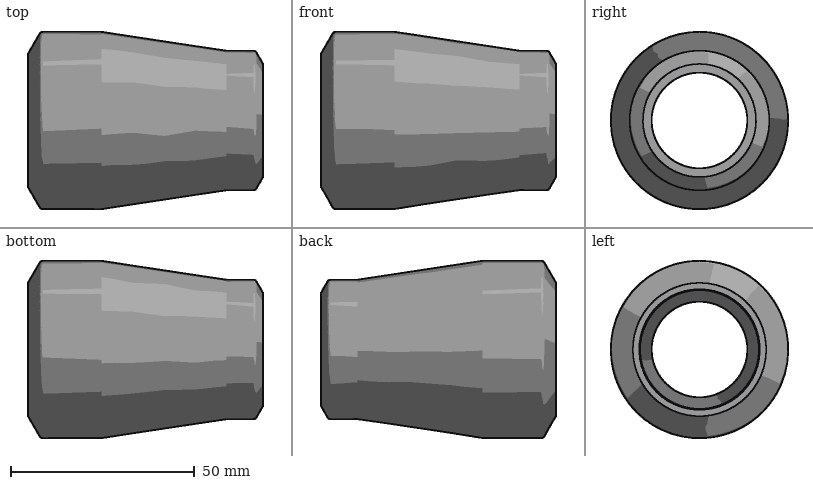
import cadquery as cq
import math

total_length = 64.0
taper_start = 20.0
taper_end = 54.1

large_diameter = 48.3
small_diameter = 38.0
large_face_diameter = 36.3
small_face_diameter = 30.8

large_bore = 32.3
small_bore = 26.0
bore_edge_chamfer = 0.25
bore_land = 12.0

bevel_angle = math.radians(60)
bevel_blend_radius = 1.0

large_radius = large_diameter / 2
small_radius = small_diameter / 2
large_face_radius = large_face_diameter / 2
small_face_radius = small_face_diameter / 2
large_bevel_length = (large_radius - large_face_radius) / math.tan(bevel_angle)
small_bevel_length = (small_radius - small_face_radius) / math.tan(bevel_angle)
small_bevel_start = total_length - small_bevel_length


def revolve_about_x(profile):
    return profile.close().revolve(360, (0, 0, 0), (1, 0, 0))


def make_outer_body():
    """Reducer body with a bevelled weld end on each side."""
    profile = (
        cq.Workplane("XZ")
        .lineTo(0, large_face_radius)
        .lineTo(large_bevel_length, large_radius)
        .lineTo(taper_start, large_radius)
        .lineTo(taper_end, small_radius)
        .lineTo(small_bevel_start, small_radius)
        .lineTo(total_length, small_face_radius)
        .lineTo(total_length, 0)
    )
    return revolve_about_x(profile)


def blend_bevel(body, x):
    """Round the circular edge where a bevel meets the cylinder at x."""
    reach = 0.005
    box = cq.selectors.BoxSelector(
        (x - reach, -large_diameter, -large_diameter),
        (x + reach, large_diameter, large_diameter),
        boundingbox=True,
    )
    return body.edges(box).edges("%CIRCLE").fillet(bevel_blend_radius)


def make_bore():
    """Through bore that narrows in a cone between equal straight lands."""
    large_bore_radius = large_bore / 2
    small_bore_radius = small_bore / 2
    profile = (
        cq.Workplane("XZ")
        .lineTo(0, large_bore_radius + bore_edge_chamfer)
        .lineTo(bore_edge_chamfer, large_bore_radius)
        .lineTo(bore_land, large_bore_radius)
        .lineTo(total_length - bore_land, small_bore_radius)
        .lineTo(total_length, small_bore_radius)
        .lineTo(total_length, 0)
    )
    return revolve_about_x(profile)


body = make_outer_body()
for bevel_edge_x in (large_bevel_length, small_bevel_start):
    body = blend_bevel(body, bevel_edge_x)

result = body.cut(make_bore())